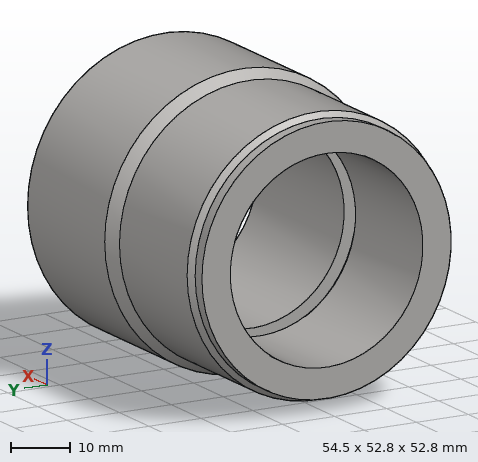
import cadquery as cq

total_length = 54.5
pilot_radius = 24.0
spigot_radius = 24.95
body_radius = 52.8 / 2

pilot_length = 2.3
spigot_start = 3.25
spigot_end = 26.05
body_start = 28.5

entry_radius = 18.55
flare_start = 22.65
shoulder_position = 25.2
flare_radius = 20.05
through_radius = 17.75

outer_profile = [
    (0, 0),
    (0, pilot_radius),
    (pilot_length, pilot_radius),
    (spigot_start, spigot_radius),
    (spigot_end, spigot_radius),
    (body_start, body_radius),
    (total_length, body_radius),
    (total_length, 0),
]
bore_profile = [
    (0, 0),
    (0, entry_radius),
    (flare_start, entry_radius),
    (shoulder_position, flare_radius),
    (shoulder_position, through_radius),
    (total_length, through_radius),
    (total_length, 0),
]


def turned(profile):
    """Revolve an (axial, radial) profile about the X axis."""
    return cq.Workplane("XY").polyline(profile).close().revolve(360, (0, 0, 0), (1, 0, 0))


result = turned(outer_profile).cut(turned(bore_profile))